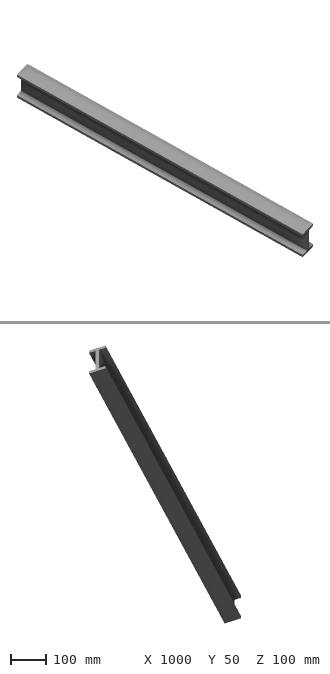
import cadquery as cq

length = 1000.0
flange_width = 50.0
height = 100.0
flange_thickness = 10.0
web_thickness = 10.0

web = cq.Workplane("XY").box(length, web_thickness, height)

flange_offset = (height - flange_thickness) / 2
flanges = (
    cq.Workplane("XY")
    .pushPoints([(0, 0, flange_offset), (0, 0, -flange_offset)])
    .box(length, flange_width, flange_thickness)
)

result = web.union(flanges)